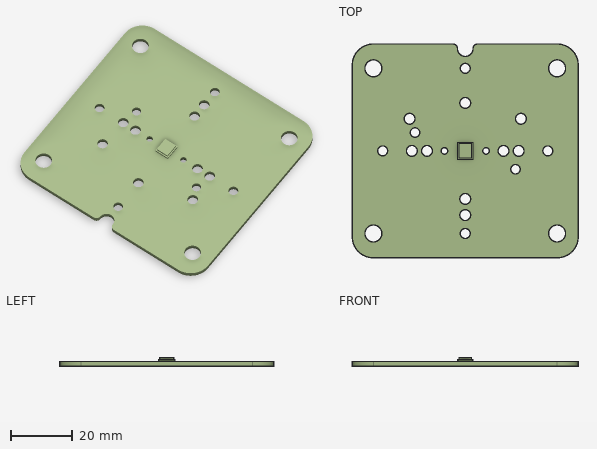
import cadquery as cq
import math

BOARD_LENGTH = 74.0
BOARD_WIDTH = 70.0
BOARD_THICKNESS = 1.6
CORNER_RADIUS = 6.95

NOTCH_RADIUS = 2.5
NOTCH_LIP_RADIUS = 1.55

MOUNTING_DIAMETER = 5.5
LARGE_DIAMETER = 3.5
OUTER_DIAMETER = 3.2
OFFSET_DIAMETER = 3.0
SMALL_DIAMETER = 2.1

MOUNTING_X = 30.05
OUTER_DISTANCE = 27.0
MOUNTING_Y = OUTER_DISTANCE
ROW_OUTER_X = 17.5
ROW_INNER_X = 12.5
COLUMN_NEAR_Y = 15.7
COLUMN_FAR_Y = 21.0
UPPER_PAIR_X = 18.2
UPPER_PAIR_Y = 10.5
OFFSET_X = 16.4
OFFSET_Y = 6.0
SMALL_X = 6.8

CHIP_LENGTH = 4.95
CHIP_WIDTH = 5.5
CHIP_BASE_HEIGHT = 0.6
OVERALL_HEIGHT = 2.9
CHIP_CAP_INSET = 0.4
CHIP_CAP_HEIGHT = OVERALL_HEIGHT - BOARD_THICKNESS - CHIP_BASE_HEIGHT


def mirrored_in_x(x, y):
    return [(-x, y), (x, y)]


MOUNTING_CENTRES = mirrored_in_x(MOUNTING_X, MOUNTING_Y) + mirrored_in_x(MOUNTING_X, -MOUNTING_Y)
OUTER_CENTRES = mirrored_in_x(OUTER_DISTANCE, 0) + [(0, OUTER_DISTANCE), (0, -OUTER_DISTANCE)]
LARGE_CENTRES = (
    mirrored_in_x(ROW_OUTER_X, 0)
    + mirrored_in_x(ROW_INNER_X, 0)
    + mirrored_in_x(UPPER_PAIR_X, UPPER_PAIR_Y)
    + [(0, COLUMN_NEAR_Y), (0, -COLUMN_NEAR_Y), (0, -COLUMN_FAR_Y)]
)
OFFSET_CENTRES = [(-OFFSET_X, OFFSET_Y), (OFFSET_X, -OFFSET_Y)]
SMALL_CENTRES = mirrored_in_x(SMALL_X, 0)

HOLE_GROUPS = [
    (MOUNTING_DIAMETER, MOUNTING_CENTRES),
    (OUTER_DIAMETER, OUTER_CENTRES),
    (LARGE_DIAMETER, LARGE_CENTRES),
    (OFFSET_DIAMETER, OFFSET_CENTRES),
    (SMALL_DIAMETER, SMALL_CENTRES),
]


def make_notch_cutter():
    """Solid to remove from the +Y edge: quarter-round lips running into a semicircle."""
    edge_y = BOARD_WIDTH / 2
    floor_centre_y = edge_y - NOTCH_LIP_RADIUS
    mouth_x = NOTCH_RADIUS + NOTCH_LIP_RADIUS
    lip_middle_x = mouth_x - NOTCH_LIP_RADIUS * math.sqrt(0.5)
    lip_middle_y = floor_centre_y + NOTCH_LIP_RADIUS * math.sqrt(0.5)
    return (
        cq.Workplane("XY")
        .moveTo(-mouth_x, edge_y)
        .threePointArc((-lip_middle_x, lip_middle_y), (-NOTCH_RADIUS, floor_centre_y))
        .threePointArc((0, floor_centre_y - NOTCH_RADIUS), (NOTCH_RADIUS, floor_centre_y))
        .threePointArc((lip_middle_x, lip_middle_y), (mouth_x, edge_y))
        .close()
        .extrude(BOARD_THICKNESS)
    )


def make_board():
    """Notched board with all of its through holes."""
    board = (
        cq.Workplane("XY")
        .box(BOARD_LENGTH, BOARD_WIDTH, BOARD_THICKNESS, centered=(True, True, False))
        .edges("|Z")
        .fillet(CORNER_RADIUS)
        .cut(make_notch_cutter())
    )
    for diameter, centres in HOLE_GROUPS:
        holes = cq.Workplane("XY").pushPoints(centres).circle(diameter / 2).extrude(BOARD_THICKNESS)
        board = board.cut(holes)
    return board


def make_chip():
    """Rectangular chip: a base block with a smaller cap block on top of it."""
    base = (
        cq.Workplane("XY", origin=(0, 0, BOARD_THICKNESS))
        .rect(CHIP_LENGTH, CHIP_WIDTH)
        .extrude(CHIP_BASE_HEIGHT)
    )
    cap = (
        base.faces(">Z")
        .workplane()
        .rect(CHIP_LENGTH - 2 * CHIP_CAP_INSET, CHIP_WIDTH - 2 * CHIP_CAP_INSET)
        .extrude(CHIP_CAP_HEIGHT, combine=False)
    )
    return base.union(cap)


board = make_board()
chip = make_chip()

result = cq.Compound.makeCompound([board.solids().val(), chip.solids().val()])